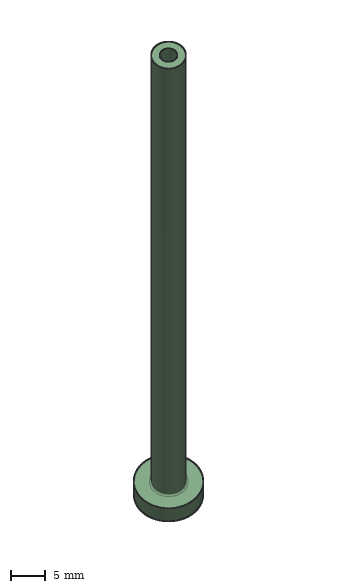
import cadquery as cq

total_length = 100.0
head_diameter = 10.0
head_thickness = 3.0
tube_diameter = 5.0
bore_diameter = 2.5
root_fillet = 0.3

head = cq.Workplane("XY").circle(head_diameter / 2).extrude(head_thickness)
tube = cq.Workplane("XY").circle(tube_diameter / 2).extrude(total_length)
body = head.union(tube)

root_edge = cq.selectors.RadiusNthSelector(0)
body = body.faces("<Z[1]").edges(root_edge).fillet(root_fillet)

bore = cq.Workplane("XY").circle(bore_diameter / 2).extrude(total_length)
result = body.cut(bore)